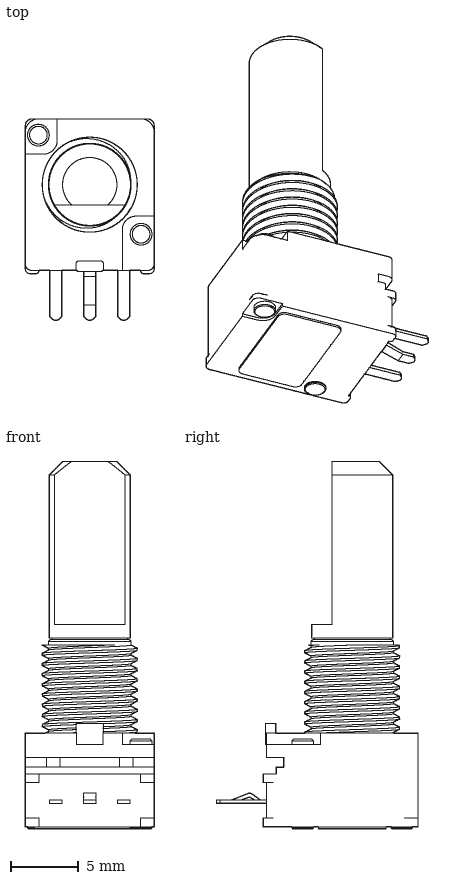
import cadquery as cq


shaft_radius = 3.0
shaft_top = 20.0
shaft_bottom = 7.0
shaft_chamfer = 1.0
flat_y = -1.5
flat_bottom = 8.0
neck_radius = 2.8

collar_radius = 3.05
collar_top = 6.9
collar_chamfer = 0.15
thread_top = 6.5
thread_root_radius = 3.1
thread_crest_radius = 3.5
thread_pitch = 0.75
thread_crest_width = 0.16
thread_root_width = 0.57
thread_start_turn = 0.23
thread_overlap = 0.1

body_width = 9.5
body_back = 4.85
body_front = -6.32
body_bottom = -6.9
front_corner_radius = 0.5
back_corner_radius = 1.0
base_back_radius = 0.5
half_width = body_width / 2

foot_height = 0.65
foot_width = 1.02
foot_projection = 0.24
foot_outer_radius = 0.35
foot_front = body_front - foot_projection
base_top = body_bottom + foot_height

slot_top = -1.8
slot_step = -2.5
slot_bottom = -3.0
slot_upper_y = -5.05
slot_lower_y = -5.6
pocket_half_width = 3.2
pocket_y = -4.55
rotor_radius = -slot_upper_y

recess_width = 2.35
back_recess_length = 2.6
front_recess_length = 4.0
recess_depth = 0.83
recess_radius = 1.0
base_recess_length = 2.2
base_recess_depth = 0.22

rivet_x = 3.78
rivet_y = 3.65
rivet_radius = 0.8
rivet_top_chamfer = 0.15
rivet_bottom_chamfer = 0.07
rivet_top_height = 0.4

pad_half_width = 4.1
pad_half_length = 2.5
pad_height = 0.15
pad_radius = 0.5
part_bottom = body_bottom - pad_height

tab_width = 2.0
tab_back = -5.63
tab_front = -6.4
tab_top = 0.72
tab_bottom = -0.83
tab_radius = 0.18

terminal_pitch = 2.5
terminal_width = 0.9
terminal_top = -4.92
terminal_thickness = 0.25
terminal_tip = -10.0
terminal_tip_length = 0.28
terminal_nose_width = 0.5
terminal_nose_length = 0.1
terminal_embed = 0.5
terminal_root = body_front + terminal_embed
terminal_bottom = terminal_top - terminal_thickness
bend_start = -6.77
bend_crest_start = -7.4
bend_crest_end = -7.72
bend_end = -8.87
bend_height = 0.5
bend_crest_rise = 0.04
bend_under_height = 0.45


def box(x0, x1, y0, y1, z0, z1):
    """Box between two opposite corners."""
    return cq.Workplane("XY").box(x1 - x0, y1 - y0, z1 - z0, centered=False).translate((x0, y0, z0))


def cylinder(radius, z0, z1):
    """Cylinder on the shaft axis."""
    return cq.Workplane("XY").workplane(offset=z0).circle(radius).extrude(z1 - z0)


def make_shaft():
    shaft = cylinder(shaft_radius, shaft_bottom, shaft_top).faces(">Z").chamfer(shaft_chamfer)
    flat = box(-shaft_radius, shaft_radius, -shaft_radius, flat_y, flat_bottom, shaft_top)
    return shaft.cut(flat).union(cylinder(neck_radius, 0, shaft_bottom))


def make_thread():
    """Helical ridge, run past both ends of the threaded length and cut flat there."""
    run_out = 2 * thread_pitch
    helix_start = thread_start_turn * thread_pitch - run_out
    helix_height = thread_top - helix_start + run_out
    helix = cq.Wire.makeHelix(thread_pitch, helix_height, thread_root_radius)
    flank_slope = (thread_root_width - thread_crest_width) / (thread_crest_radius - thread_root_radius)
    inner_radius = thread_root_radius - thread_overlap
    inner_half = (thread_root_width + flank_slope * thread_overlap) / 2
    crest_half = thread_crest_width / 2
    ridge = (
        cq.Workplane("XZ")
        .polyline([
            (inner_radius, -inner_half),
            (thread_crest_radius, -crest_half),
            (thread_crest_radius, crest_half),
            (inner_radius, inner_half),
        ])
        .close()
        .sweep(cq.Workplane(helix), isFrenet=True)
        .translate((0, 0, helix_start))
    )
    return ridge.intersect(cylinder(thread_crest_radius + thread_overlap, 0, thread_top))


def make_bushing():
    collar = cylinder(collar_radius, 0, collar_top).faces(">Z").chamfer(collar_chamfer)
    core = cylinder(thread_root_radius, 0, thread_top)
    return collar.union(core.union(make_thread()))


def make_feet(z_top):
    """Pair of rounded feet reaching forward at the front corners."""
    feet = cq.Workplane("XY")
    y_back = body_front + foot_width
    for side in (-1, 1):
        outer = side * half_width
        inner = side * (half_width - foot_width)
        foot = box(min(outer, inner), max(outer, inner), foot_front, y_back, z_top - foot_height, z_top)
        outer_edge = "<X" if side < 0 else ">X"
        inner_edge = ">X" if side < 0 else "<X"
        foot = foot.faces("<Y").edges(outer_edge).fillet(foot_outer_radius)
        foot = foot.faces("<Y").edges(inner_edge).fillet(foot_projection)
        feet = feet.add(foot)
    return feet.combine()


def cut_slot(body):
    """Stepped slot with the round rotor showing in a pocket at its back."""
    upper = box(-half_width, half_width, foot_front, slot_upper_y, slot_step, slot_top)
    lower = box(-half_width, half_width, foot_front, slot_lower_y, slot_bottom, slot_step)
    pocket = box(-pocket_half_width, pocket_half_width, slot_upper_y, pocket_y, slot_step, slot_top)
    rotor = cylinder(rotor_radius, slot_step, slot_top)
    return body.cut(upper).cut(lower).cut(pocket.cut(rotor))


def recess(x0, x1, y0, y1, z0, z1, inner_edge):
    """Corner recess with its inner upright edge rounded."""
    return box(x0, x1, y0, y1, z0, z1).edges(inner_edge).fillet(recess_radius)


def cut_recesses(body):
    """Recesses at two opposite top corners and one bottom corner."""
    x_left = -half_width + recess_width
    x_right = half_width - recess_width
    back_y = body_back - back_recess_length
    front_y = body_front + front_recess_length
    base_y = body_back - base_recess_length
    base_recess_top = body_bottom + base_recess_depth
    back = recess(-half_width, x_left, back_y, body_back, -recess_depth, 0, "|Z and >X and <Y")
    front = recess(x_right, half_width, body_front, front_y, -recess_depth, 0, "|Z and <X and >Y")
    base = recess(-half_width, x_left, base_y, body_back, body_bottom, base_recess_top, "|Z and >X and <Y")
    return body.cut(back).cut(front).cut(base)


def make_rivets():
    """Two rivets through the housing with chamfered heads at both ends."""
    rivet = cylinder(rivet_radius, part_bottom, -recess_depth + rivet_top_height)
    rivet = rivet.faces(">Z").chamfer(rivet_top_chamfer)
    rivet = rivet.faces("<Z").chamfer(rivet_bottom_chamfer)
    left = rivet.translate((-rivet_x, rivet_y, 0))
    return left.union(rivet.translate((rivet_x, -rivet_y, 0)))


def make_housing():
    body = box(-half_width, half_width, body_front, body_back, body_bottom, 0)
    body = body.edges("|Z and <Y").fillet(front_corner_radius)
    body = body.edges("|Z and >Y").fillet(back_corner_radius)
    base = box(-half_width, half_width, body_front, body_back, body_bottom, base_top)
    base = base.edges("|Z and >Y").fillet(base_back_radius)
    base = base.edges("|Z and <Y").fillet(front_corner_radius)
    body = body.union(base).union(make_feet(base_top)).union(make_feet(slot_bottom))
    body = cut_recesses(cut_slot(body))
    pad = box(-pad_half_width, pad_half_width, -pad_half_length, pad_half_length, part_bottom, body_bottom)
    pad = pad.edges("|Z").fillet(pad_radius)
    return body.union(pad).union(make_rivets())


def make_tab():
    tab = box(-tab_width / 2, tab_width / 2, tab_front, tab_back, tab_bottom, tab_top)
    return tab.edges("|Z").fillet(tab_radius)


def terminal_outline():
    """Terminal prism with a tapered tip and rounded nose, tall enough to trim any side profile."""
    half = terminal_width / 2
    nose_half = terminal_nose_width / 2
    shoulder = terminal_tip + terminal_tip_length
    nose_start = terminal_tip + terminal_nose_length
    return (
        cq.Workplane("XY")
        .workplane(offset=terminal_bottom)
        .moveTo(-half, terminal_root)
        .lineTo(-half, shoulder)
        .lineTo(-nose_half, nose_start)
        .threePointArc((0, terminal_tip), (nose_half, nose_start))
        .lineTo(half, shoulder)
        .lineTo(half, terminal_root)
        .close()
        .extrude(terminal_thickness + bend_height)
    )


def make_terminal(bent):
    """Flat terminal, or one with a rounded kink near the housing."""
    profile = cq.Workplane("YZ").moveTo(terminal_root, terminal_bottom).lineTo(terminal_root, terminal_top)
    bend_middle = (bend_crest_start + bend_crest_end) / 2
    if bent:
        crest_top = terminal_top + bend_height
        crest_edge = crest_top - bend_crest_rise
        profile = (
            profile.lineTo(bend_start, terminal_top)
            .lineTo(bend_crest_start, crest_edge)
            .threePointArc((bend_middle, crest_top), (bend_crest_end, crest_edge))
            .lineTo(bend_end, terminal_top)
        )
    profile = profile.lineTo(terminal_tip, terminal_top).lineTo(terminal_tip, terminal_bottom)
    if bent:
        profile = (
            profile.lineTo(bend_end, terminal_bottom)
            .lineTo(bend_middle, terminal_bottom + bend_under_height)
            .lineTo(bend_start, terminal_bottom)
        )
    strip = profile.close().extrude(terminal_width / 2, both=True)
    return strip.intersect(terminal_outline())


result = make_housing().union(make_tab()).union(make_bushing()).union(make_shaft())
for position in (-1, 0, 1):
    terminal = make_terminal(bent=position == 0)
    result = result.union(terminal.translate((position * terminal_pitch, 0, 0)))